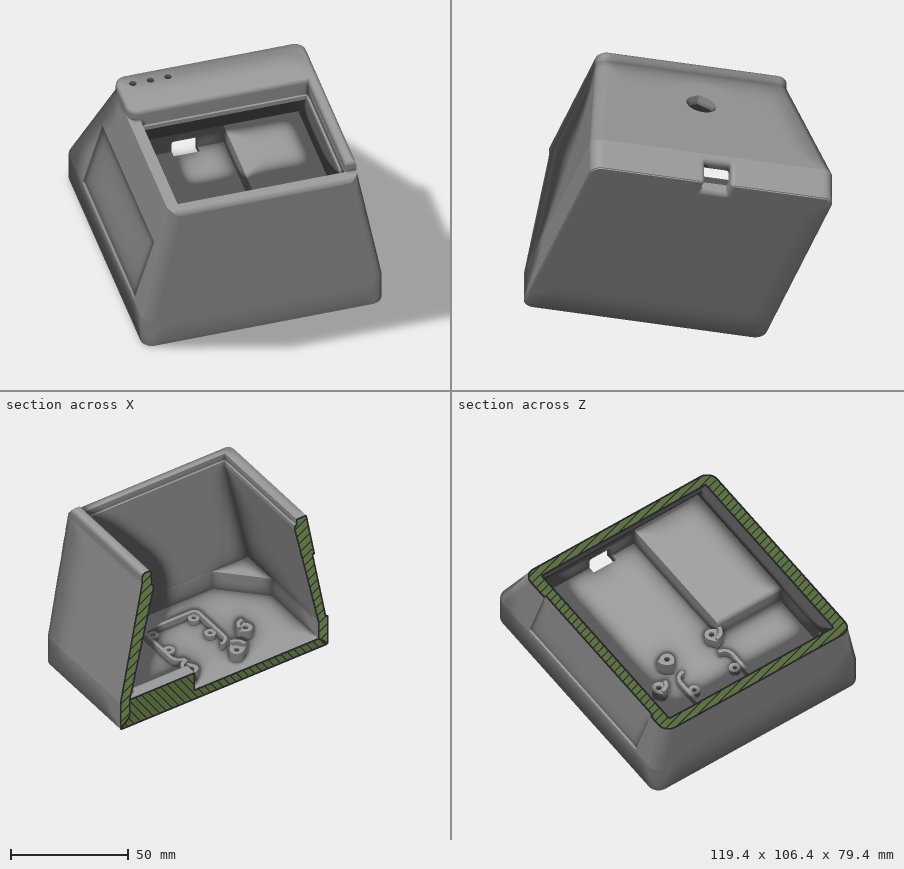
import cadquery as cq
import math

overall_length = 119.4
base_length = 118.2
base_width = 106.4
band_height = 14.3
shoulder_z = 74.3
top_z = 79.4
top_front_x = 33.1
top_width = 84.1
corner_radius = 5.0
back_edge_radius = 3.0

slope_run = top_front_x
slope_rise = shoulder_z - band_height
back_lean = (overall_length - base_length) * slope_rise / (slope_rise - back_edge_radius)
top_back_x = base_length + back_lean

rim_fillet = 2.0
rail_thickness = 4.9
opening_front_x = 57.9
opening_back_x = 114.3
opening_width = 74.0
ledge_width = 1.0
ledge_depth = 3.1
lip_thickness = 2.0

wall = 5.0
well_front_x = opening_front_x + ledge_width
well_back_x = opening_back_x - ledge_width
well_width = opening_width - 2 * ledge_width
ledge_z = shoulder_z - ledge_depth
cavity_top_z = ledge_z - lip_thickness
cavity_back_x = base_length - wall
cavity_width = base_width - 2 * wall
gusset_leg = 18.2

indicator_diameter = 3.2
indicator_x = 39.8
indicator_first_y = -19.6
indicator_pitch = 7.8
indicator_count = 3

teardrop_diameter = 13.0
teardrop_z = 51.2
teardrop_roof_angle = 32.0

label_depth = 1.0
label_length = 78.7
label_bottom_z = 15.4
label_top_z = 51.6
label_bottom_x = 24.5
label_skew = 6.9

notch_y = -2.0
notch_width = 11.6
notch_height = 10.5
notch_corner = 1.0
notch_edge_fillet = 2.0
notch_end_x = 8.0
selection_margin = 0.2

plate_thickness = 5.0
flange_height = 0.5
flange_inset = 0.5
plate_top_radius = 0.4
step_x = 66.8
step_fillet = 1.9
step_start_y = 15.2
step_top_z = band_height

fence_thickness = 1.4
fence_height = 3.7
fence_left_x = 75.2
fence_right_x = 102.1
fence_width = 28.4
fence_left_radius = 5.0
fence_right_radius = 3.2

fence_boss_diameter = 5.0
fence_boss_hole = 2.0
fence_boss_height = 2.5
fence_boss_xs = (86.1, 98.5)
fence_boss_y = 10.5

corner_boss_diameter = 6.0
corner_boss_hole = 2.5
corner_boss_height = 5.0
corner_rib_height = 6.9
corner_rib_thickness = 1.5
corner_bosses = (
    (67.5, 11.6, 1, 5.0, 0.2),
    (67.5, -11.6, -1, 5.0, 0.2),
    (78.1, -23.3, 1, 4.5, 0.5),
)


def block(x0, x1, width, z0, z1):
    """Box from x0 to x1 and z0 to z1, centred on Y = 0."""
    return cq.Workplane("XY").box(x1 - x0, width, z1 - z0).translate(((x0 + x1) / 2, 0, (z0 + z1) / 2))


def tapered_block(low, high, z0, z1):
    """Loft between two rectangles given as (x0, x1, width, corner radius)."""
    def section(rectangle):
        x0, x1, width, radius = rectangle
        sketch = cq.Sketch().rect(x1 - x0, width)
        if radius:
            sketch = sketch.vertices().fillet(radius)
        return sketch.moved(cq.Location(cq.Vector((x0 + x1) / 2, 0, 0)))

    upper = section(high).moved(cq.Location(cq.Vector(0, 0, z1 - z0)))
    return cq.Workplane("XY", origin=(0, 0, z0)).placeSketch(section(low), upper).loft(ruled=True)


def cable_notch(height, rounded_edges):
    """Notch block from the -X side up to the given height, with the chosen edges rounded."""
    notch = block(0, notch_end_x, notch_width, 0, height)
    return notch.edges(rounded_edges).fillet(notch_corner).translate((0, notch_y, 0))


def notch_edges(x0, x1, z0, z1):
    """Selector for the notch edges whose centres lie between x0 and x1 and between z0 and z1."""
    reach = notch_width / 2 + selection_margin
    return cq.selectors.BoxSelector(
        (x0 - selection_margin, notch_y - reach, z0 - selection_margin),
        (x1 + selection_margin, notch_y + reach, z1 + selection_margin),
    )


def base_band():
    """Solid base with the cable notch and its rounded mouth, down to Z = 0."""
    band = block(0, base_length, base_width, 0, band_height).edges("|Z").fillet(corner_radius)
    band = band.cut(cable_notch(notch_height, "|X and >Z"))
    return band.edges(notch_edges(0, 0, 0, notch_height)).fillet(notch_edge_fillet)


def plate_space():
    """Solid outline of the base plate: a thin flange and a 45 degree bevel up to its upper face."""
    flange = block(
        flange_inset, base_length - flange_inset, base_width - 2 * flange_inset, 0, flange_height,
    ).edges("|Z").fillet(corner_radius - flange_inset)
    bevel = tapered_block(
        (flange_inset, base_length - flange_inset, base_width - 2 * flange_inset,
         corner_radius - flange_inset),
        (wall, cavity_back_x, cavity_width, plate_top_radius),
        flange_height, plate_thickness,
    )
    return flange.union(bevel)


def sloped_walls():
    return tapered_block(
        (0, base_length, base_width, corner_radius),
        (top_front_x, top_back_x, top_width, corner_radius),
        band_height, shoulder_z,
    )


def back_edge_cut():
    """Material outside the rounded upper edge of the +X wall."""
    return (
        cq.Workplane("XZ", origin=(0, top_width / 2, 0))
        .moveTo(top_back_x - back_edge_radius, shoulder_z)
        .radiusArc((top_back_x, shoulder_z - back_edge_radius), back_edge_radius)
        .lineTo(top_back_x, shoulder_z)
        .close()
        .extrude(top_width)
    )


def rim():
    """Raised L: a strip along -X and a rail along +Y."""
    half = top_width / 2
    rail_inner_y = half - rail_thickness
    outline = (
        cq.Workplane("XY", origin=(0, 0, shoulder_z))
        .polyline([
            (top_front_x, -half),
            (opening_front_x, -half),
            (opening_front_x, rail_inner_y),
            (opening_back_x, rail_inner_y),
            (opening_back_x, half),
            (top_front_x, half),
        ])
        .close()
        .extrude(top_z - shoulder_z)
    )
    outline = outline.edges("|Z and (<X or <Y)").fillet(corner_radius)
    return outline.faces(">Z").edges().fillet(rim_fillet)


def cavity():
    base_space = block(wall, cavity_back_x, cavity_width, plate_thickness, band_height)
    tapered_space = tapered_block(
        (wall, cavity_back_x, cavity_width, 0),
        (wall + slope_run * (cavity_top_z - band_height) / slope_rise, cavity_back_x, well_width, 0),
        band_height, cavity_top_z,
    )
    well = block(well_front_x, well_back_x, well_width, band_height, ledge_z)
    opening = block(opening_front_x, opening_back_x, opening_width, ledge_z, shoulder_z)
    return base_space.union(tapered_space).union(well).union(opening)


def corner_gussets():
    """Triangular blocks in the two +X corners of the base space, above the plate."""
    gussets = cq.Workplane("XY")
    for side in (-1, 1):
        corner_y = side * cavity_width / 2
        triangle = (
            cq.Workplane("XY", origin=(0, 0, plate_thickness))
            .polyline([
                (cavity_back_x, corner_y),
                (cavity_back_x - gusset_leg, corner_y),
                (cavity_back_x, corner_y - side * gusset_leg),
            ])
            .close()
            .extrude(band_height - plate_thickness)
        )
        gussets = gussets.add(triangle)
    return gussets.combine()


def indicator_holes():
    points = [(indicator_x, indicator_first_y - i * indicator_pitch) for i in range(indicator_count)]
    return (
        cq.Workplane("XY", origin=(0, 0, cavity_top_z))
        .pushPoints(points)
        .circle(indicator_diameter / 2)
        .extrude(top_z - cavity_top_z)
    )


def teardrop_hole():
    """Round hole with a pointed roof, square to the sloped -X wall."""
    radius = teardrop_diameter / 2
    angle = math.radians(teardrop_roof_angle)
    roof_x = radius * math.sin(angle)
    roof_y = radius * math.cos(angle)
    centre_x = slope_run * (teardrop_z - band_height) / slope_rise
    face = cq.Plane(
        origin=(centre_x, 0, teardrop_z),
        xDir=(0, -1, 0),
        normal=(-slope_rise, 0, slope_run),
    )
    return (
        cq.Workplane(face)
        .moveTo(roof_x, roof_y)
        .lineTo(0, radius / math.cos(angle))
        .lineTo(-roof_x, roof_y)
        .threePointArc((0, -radius), (roof_x, roof_y))
        .close()
        .extrude(wall, both=True)
    )


def label_recess(walls):
    """Slanted panel of even depth, its floor parallel to the -Y wall."""
    prism = (
        cq.Workplane("XZ")
        .polyline([
            (label_bottom_x, label_bottom_z),
            (label_bottom_x + label_length, label_bottom_z),
            (label_bottom_x + label_length + label_skew, label_top_z),
            (label_bottom_x + label_skew, label_top_z),
        ])
        .close()
        .extrude(base_width / 2)
    )
    return prism.cut(walls.translate((0, label_depth, 0)))


def make_housing():
    walls = sloped_walls()
    underside = block(0, base_length, base_width, 0, flange_height)
    band = base_band().cut(underside).cut(plate_space())
    shell = band.union(walls.cut(back_edge_cut())).union(rim())
    shell = shell.cut(cavity()).union(corner_gussets())
    return shell.cut(indicator_holes()).cut(teardrop_hole()).cut(label_recess(walls))


def plate_slab():
    """Plate with the inner end of the cable notch, rounded along its lower edge."""
    slab = plate_space().cut(cable_notch(plate_thickness, "|Z and >X"))
    slab = slab.edges(notch_edges(flange_inset, notch_end_x, 0, 0)).fillet(notch_edge_fillet)
    return slab.intersect(base_band())


def raised_corner():
    """Raised floor in the -X, +Y corner, with a rounded edge down to the slab."""
    return (
        cq.Workplane("XZ", origin=(0, cavity_width / 2, 0))
        .moveTo(step_x + step_fillet, plate_thickness)
        .radiusArc((step_x, plate_thickness + step_fillet), step_fillet)
        .lineTo(step_x, step_top_z - step_fillet)
        .radiusArc((step_x - step_fillet, step_top_z), -step_fillet)
        .lineTo(wall, step_top_z)
        .lineTo(wall, plate_thickness)
        .close()
        .extrude(cavity_width / 2 - step_start_y)
    )


def fence():
    """U-shaped wall, open towards -X."""
    def outline(inset):
        x0 = fence_left_x + inset
        x1 = fence_right_x - inset
        half = fence_width / 2 - inset
        shape = block(x0, x1, 2 * half, plate_thickness, plate_thickness + fence_height)
        shape = shape.edges("|Z and <X").fillet(fence_left_radius - inset)
        return shape.edges("|Z and >X").fillet(fence_right_radius - inset)

    mouth = block(
        fence_left_x, fence_left_x + fence_left_radius, fence_width - 2 * fence_left_radius,
        plate_thickness, plate_thickness + fence_height,
    )
    return outline(0).cut(outline(fence_thickness)).cut(mouth)


def post(x, y, diameter, height):
    return cq.Workplane("XY", origin=(x, y, plate_thickness)).circle(diameter / 2).extrude(height)


def corner_boss(x, y, side, rib_radius, rib_offset):
    """Round boss with a web to a quarter-ring rib on its +X side."""
    radius = corner_boss_diameter / 2
    reach = rib_radius - rib_offset
    centre = -rib_offset
    end_distance = math.hypot(reach, rib_offset)
    tangent = -math.atan2(rib_offset, reach) - math.acos(radius / end_distance)
    tangent_x = radius * math.cos(tangent)
    tangent_y = radius * math.sin(tangent)
    diagonal = centre + rib_radius * math.sqrt(0.5)

    web = (
        cq.Workplane("XY")
        .moveTo(tangent_x, tangent_y)
        .lineTo(reach, centre)
        .threePointArc((diagonal, diagonal), (centre, reach))
        .lineTo(tangent_y, tangent_x)
        .close()
        .extrude(corner_boss_height)
    )
    ring = cq.Workplane("XY").circle(rib_radius).circle(rib_radius - corner_rib_thickness)
    quarter = cq.Workplane("XY").rect(rib_radius, rib_radius, centered=False).extrude(corner_rib_height)
    rib = ring.extrude(corner_rib_height).intersect(quarter).translate((centre, centre, 0))
    boss = cq.Workplane("XY").circle(radius).extrude(corner_boss_height).union(web).union(rib)
    if side < 0:
        boss = boss.mirror("XZ")
    return boss.translate((x, y, plate_thickness))


def make_base_plate():
    plate = plate_slab()
    plate = plate.union(raised_corner()).union(fence())
    fence_boss_points = [(x, side * fence_boss_y) for x in fence_boss_xs for side in (-1, 1)]
    for x, y in fence_boss_points:
        plate = plate.union(post(x, y, fence_boss_diameter, fence_boss_height))
    for x, y, side, rib_radius, rib_offset in corner_bosses:
        plate = plate.union(corner_boss(x, y, side, rib_radius, rib_offset))
    for x, y in fence_boss_points:
        plate = plate.cut(post(x, y, fence_boss_hole, fence_boss_height))
    for x, y, *_ in corner_bosses:
        plate = plate.cut(post(x, y, corner_boss_hole, corner_boss_height))
    return plate


housing = make_housing()
base_plate = make_base_plate()

result = cq.Compound.makeCompound([housing.val(), base_plate.val()])